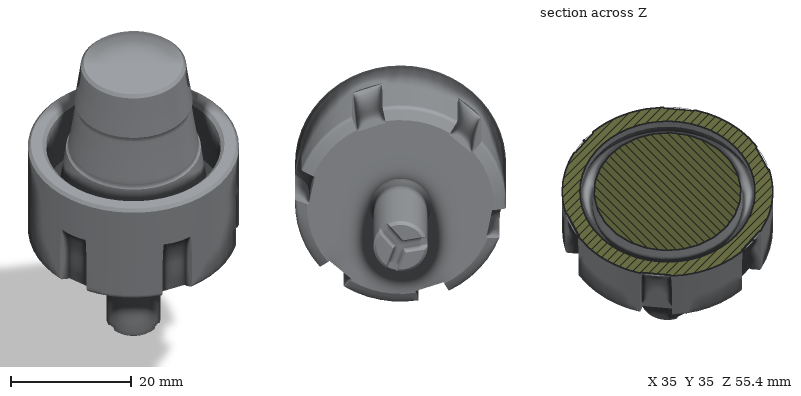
import cadquery as cq
import math

total_height = 55.4

nut_radius = 17.5
nut_bottom = 18.05
nut_height = 20.0
nut_top_chamfer = 0.5
nut_face_radius = 15.5
nut_cone_angle = 30.0
nut_edge_round = 1.0
bore_radius = 29.0 / 2
relief_radius = 30.2 / 2
relief_bottom = 26.6
relief_height = 2.1

slot_count = 6
first_slot_angle = 171.6
slot_floor_radius = 15.0
slot_floor_width = 5.0
slot_wall_angle = 5.0
slot_straight_top = 24.15
slot_runout_height = 6.1
slot_runout_round = 9.55

taper_angle = 8.0
plug_end_radius = 8.75
plug_end_chamfer = 0.5
upper_taper_bottom = 47.3
step_depth = 0.2
step_height = 0.85
shoulder_z = 37.35
shoulder_radius = 11.2
shoulder_flare_height = 0.8
plug_base_radius = 25.0 / 2

shank_radius = 9.0 / 2
shank_chamfer = 0.5
flare_height = 1.5
flare_radius = 5.05

arm_count = 3
first_arm_angle = 30.0
arm_height = 1.0
arm_mouth_width = 2.2
arm_top_width = 1.45
arm_corner_round = 0.2

cut_clearance = 0.55
nut_top = nut_bottom + nut_height


def revolve_profile(profile):
    """Turn a closed profile, drawn as radius and height, about the Z axis."""
    return profile.close().revolve(360, (0, 0, 0), (0, 1, 0))


def flare_middle(start, end):
    """Middle of an arc that leaves start along the axis and curves outward to end."""
    rise = end[1] - start[1]
    bend = math.atan2(end[0] - start[0], abs(rise))
    arc_round = abs(rise) / math.sin(2 * bend)
    climb = math.copysign(arc_round * math.sin(bend), rise)
    return (start[0] + arc_round * (1 - math.cos(bend)), start[1] + climb)


def spanner_slot(angle):
    """Cutter for one slot: a flared section run straight up, then curved outward at the top."""
    depth = nut_radius - slot_floor_radius + cut_clearance
    floor_half = slot_floor_width / 2
    mouth_half = floor_half + depth * math.tan(math.radians(slot_wall_angle))
    corners = [(0, -floor_half), (depth, -mouth_half), (depth, mouth_half), (0, floor_half)]
    start = cq.Workplane("XY", origin=(slot_floor_radius, 0, slot_straight_top))
    straight_length = slot_straight_top - nut_bottom + cut_clearance
    straight_part = start.polyline(corners).close().extrude(-straight_length)
    runout_angle = math.degrees(math.asin(slot_runout_height / slot_runout_round))
    runout = (
        start.polyline(corners)
        .close()
        .revolve(runout_angle, (slot_runout_round, 0, 0), (slot_runout_round, 1, 0))
    )
    return straight_part.union(runout).rotate((0, 0, 0), (0, 0, 1), angle)


def make_nut():
    """Slotted ring with a coned lower edge and an undercut bore."""
    slope = math.radians(nut_cone_angle)
    turn = math.pi / 2 - slope
    round_centre = nut_radius - nut_edge_round
    cone_top_radius = round_centre + nut_edge_round * math.cos(turn)
    cone_top = nut_bottom + (cone_top_radius - nut_face_radius) * math.tan(slope)
    round_top = cone_top + nut_edge_round * math.sin(turn)
    round_middle = (
        round_centre + nut_edge_round * math.cos(turn / 2),
        round_top - nut_edge_round * math.sin(turn / 2),
    )
    mouth_chamfer = relief_radius - bore_radius
    relief_top = relief_bottom + relief_height
    nut = revolve_profile(
        cq.Workplane("XZ")
        .moveTo(flare_radius, nut_bottom)
        .lineTo(nut_face_radius, nut_bottom)
        .lineTo(cone_top_radius, cone_top)
        .threePointArc(round_middle, (nut_radius, round_top))
        .lineTo(nut_radius, nut_top - nut_top_chamfer)
        .lineTo(nut_radius - nut_top_chamfer, nut_top)
        .lineTo(relief_radius, nut_top)
        .lineTo(bore_radius, nut_top - mouth_chamfer)
        .lineTo(bore_radius, relief_top)
        .lineTo(relief_radius, relief_top)
        .lineTo(relief_radius, relief_bottom)
        .lineTo(flare_radius, relief_bottom)
    )
    for i in range(slot_count):
        nut = nut.cut(spanner_slot(first_slot_angle + i * 360 / slot_count))
    return nut


def make_plug():
    """Stepped taper standing on the floor of the nut bore."""
    taper = math.tan(math.radians(taper_angle))
    upper_top = total_height - plug_end_chamfer
    upper_base = (plug_end_radius + (upper_top - upper_taper_bottom) * taper, upper_taper_bottom)
    middle_top = (upper_base[0] - step_depth, upper_taper_bottom - step_height)
    middle_bottom = shoulder_z + shoulder_flare_height
    middle_base = (middle_top[0] + (middle_top[1] - middle_bottom) * taper, middle_bottom)
    shoulder = (shoulder_radius, shoulder_z)
    base_top = shoulder_z - (plug_base_radius - shoulder_radius) / taper
    return revolve_profile(
        cq.Workplane("XZ")
        .moveTo(0, relief_bottom)
        .lineTo(plug_base_radius, relief_bottom)
        .lineTo(plug_base_radius, base_top)
        .lineTo(*shoulder)
        .threePointArc(flare_middle(middle_base, shoulder), middle_base)
        .lineTo(*middle_top)
        .threePointArc(flare_middle(middle_top, upper_base), upper_base)
        .lineTo(plug_end_radius, upper_top)
        .lineTo(plug_end_radius - plug_end_chamfer, total_height)
        .lineTo(0, total_height)
    )


def tip_slot_arm(angle):
    """Cutter for one arm, from the axis outward, narrowing upward to a rounded top."""
    mouth_half = arm_mouth_width / 2
    top_half = arm_top_width / 2
    arm = (
        cq.Workplane("YZ")
        .polyline([(-mouth_half, 0), (mouth_half, 0), (top_half, arm_height), (-top_half, arm_height)])
        .close()
        .extrude(shank_radius + cut_clearance)
        .edges("|X and >Z")
        .fillet(arm_corner_round)
    )
    return arm.rotate((0, 0, 0), (0, 0, 1), angle)


def make_shank():
    """Shank with a flared head that fills the hole through the nut."""
    flare_start = (shank_radius, nut_bottom - flare_height)
    flare_end = (flare_radius, nut_bottom)
    shank = revolve_profile(
        cq.Workplane("XZ")
        .lineTo(shank_radius - shank_chamfer, 0)
        .lineTo(shank_radius, shank_chamfer)
        .lineTo(*flare_start)
        .threePointArc(flare_middle(flare_start, flare_end), flare_end)
        .lineTo(flare_radius, relief_bottom)
        .lineTo(0, relief_bottom)
    )
    for i in range(arm_count):
        shank = shank.cut(tip_slot_arm(first_arm_angle + i * 360 / arm_count))
    return shank


nut = make_nut()
plug = make_plug()
shank = make_shank()

result = cq.Compound.makeCompound([nut.val(), plug.val(), shank.val()])